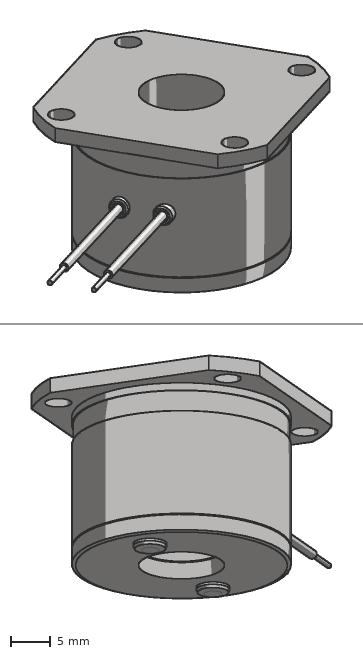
import cadquery as cq

COVER_HEIGHT = 2.2
AIR_GAP = 0.15
HOUSING_HEIGHT = 13.8
NECK_HEIGHT = 2.75
COLLAR_HEIGHT = 1.0
FLANGE_THICKNESS = 2.0

HOUSING_BOTTOM = COVER_HEIGHT + AIR_GAP
HOUSING_TOP = HOUSING_BOTTOM + HOUSING_HEIGHT
COLLAR_BOTTOM = HOUSING_TOP + NECK_HEIGHT
FLANGE_BOTTOM = COLLAR_BOTTOM + COLLAR_HEIGHT
FLANGE_TOP = FLANGE_BOTTOM + FLANGE_THICKNESS

BODY_RADIUS = 28.0 / 2
NECK_RADIUS = 27.7 / 2
BORE_RADIUS = 5.5
SLEEVE_RADIUS = 7.1
COVER_CHAMFER_DROP = 0.15
COVER_CHAMFER_INSET = 0.5

FLANGE_WIDTH = 32.0
FLANGE_CORNER_DIAMETER = 38.95
MOUNT_HOLE_SPACING = 23.75
MOUNT_HOLE_DIAMETER = 3.4

SCREW_OFFSET = 9.7
SCREW_SHANK_RADIUS = 1.0
SCREW_THREAD_DEPTH = 4.0
SCREW_TOP = HOUSING_BOTTOM + SCREW_THREAD_DEPTH
SCREW_HEAD_RADIUS = 2.15
SCREW_HEAD_SHOULDER_RADIUS = 2.0
SCREW_HEAD_TIP_RADIUS = 1.15
SCREW_RIM_HEIGHT = 0.35
SCREW_SHOULDER_HEIGHT = 0.7
SCREW_HEAD_HEIGHT = 0.9

LEAD_OFFSET = 3.0
LEAD_HEIGHT_ON_HOUSING = 8.9
LEAD_Z = HOUSING_BOTTOM + LEAD_HEIGHT_ON_HOUSING
LEAD_START = 10.05
GROMMET_RADIUS = 1.3
GROMMET_END = 14.7
GROMMET_OUTER_CHAMFER = 0.2
GROMMET_INNER_CHAMFER = 0.2
INSULATION_RADIUS = 0.6
INSULATION_END = 33.75
CONDUCTOR_RADIUS = 0.35
OVERALL_LENGTH = 54.8
CONDUCTOR_END = OVERALL_LENGTH - FLANGE_WIDTH / 2


def upright_cylinder(radius, bottom, top, x=0, y=0):
    """Cylinder along Z between two heights."""
    return cq.Workplane("XY", origin=(x, y, bottom)).circle(radius).extrude(top - bottom)


def lead_cylinder(radius, start, end, x):
    """Cylinder along -Y at lead height, between two distances from the main axis."""
    return cq.Workplane("XZ", origin=(x, -start, LEAD_Z)).circle(radius).extrude(end - start)


def make_flange():
    """Square mounting plate with a collar, a neck on the housing and a bored sleeve through the housing."""
    plate = (
        cq.Workplane("XY", origin=(0, 0, FLANGE_BOTTOM))
        .rect(FLANGE_WIDTH, FLANGE_WIDTH)
        .extrude(FLANGE_THICKNESS)
    )
    plate = plate.intersect(upright_cylinder(FLANGE_CORNER_DIAMETER / 2, FLANGE_BOTTOM, FLANGE_TOP))
    mount_holes = (
        cq.Workplane("XY", origin=(0, 0, FLANGE_BOTTOM))
        .rect(MOUNT_HOLE_SPACING, MOUNT_HOLE_SPACING, forConstruction=True)
        .vertices()
        .circle(MOUNT_HOLE_DIAMETER / 2)
        .extrude(FLANGE_THICKNESS)
    )
    collar = upright_cylinder(BODY_RADIUS, COLLAR_BOTTOM, FLANGE_BOTTOM)
    neck = upright_cylinder(NECK_RADIUS, HOUSING_TOP, COLLAR_BOTTOM)
    sleeve = upright_cylinder(SLEEVE_RADIUS, HOUSING_BOTTOM, HOUSING_TOP)
    bore = upright_cylinder(BORE_RADIUS, HOUSING_BOTTOM, FLANGE_TOP)
    return plate.cut(mount_holes).union(collar).union(neck).union(sleeve).cut(bore)


def make_housing():
    """Housing with a hole for the sleeve, and recesses for the grommets and the screw threads."""
    housing = upright_cylinder(BODY_RADIUS, HOUSING_BOTTOM, HOUSING_TOP)
    housing = housing.cut(upright_cylinder(SLEEVE_RADIUS, HOUSING_BOTTOM, HOUSING_TOP))
    for side in (-1, 1):
        housing = housing.cut(lead_cylinder(GROMMET_RADIUS, LEAD_START, GROMMET_END, side * LEAD_OFFSET))
        housing = housing.cut(
            upright_cylinder(SCREW_SHANK_RADIUS, HOUSING_BOTTOM, SCREW_TOP, y=side * SCREW_OFFSET)
        )
    return housing


def make_cover():
    """Bottom ring, separated from the housing by the air gap, with its lower rim bevelled."""
    cover = (
        upright_cylinder(BODY_RADIUS, 0, COVER_HEIGHT)
        .faces("<Z")
        .chamfer(COVER_CHAMFER_DROP, COVER_CHAMFER_INSET)
    )
    cover = cover.cut(upright_cylinder(BORE_RADIUS, 0, COVER_HEIGHT))
    for side in (-1, 1):
        cover = cover.cut(upright_cylinder(SCREW_SHANK_RADIUS, 0, COVER_HEIGHT, y=side * SCREW_OFFSET))
    return cover


def make_screw(y):
    """Screw with a stepped, tapering head under the cover and a shank up into the housing."""
    half_profile = [
        (0, -SCREW_HEAD_HEIGHT),
        (SCREW_HEAD_TIP_RADIUS, -SCREW_HEAD_HEIGHT),
        (SCREW_HEAD_SHOULDER_RADIUS, -SCREW_SHOULDER_HEIGHT),
        (SCREW_HEAD_RADIUS, -SCREW_RIM_HEIGHT),
        (SCREW_HEAD_RADIUS, 0),
        (SCREW_SHANK_RADIUS, 0),
        (SCREW_SHANK_RADIUS, SCREW_TOP),
        (0, SCREW_TOP),
    ]
    screw = cq.Workplane("XZ").polyline(half_profile).close().revolve(360, (0, 0, 0), (0, 1, 0))
    return screw.translate((0, y, 0))


def make_grommet(x):
    """Sleeve around a lead wire, bevelled outside and inside at its outer end."""
    grommet = lead_cylinder(GROMMET_RADIUS, LEAD_START, GROMMET_END, x)
    grommet = grommet.faces("<Y").chamfer(GROMMET_OUTER_CHAMFER)
    grommet = grommet.cut(lead_cylinder(INSULATION_RADIUS, LEAD_START, GROMMET_END, x))
    return grommet.faces("<Y").edges(cq.selectors.RadiusNthSelector(0)).chamfer(GROMMET_INNER_CHAMFER)


def make_wire(x):
    """Insulated lead with a bare conductor at its end."""
    insulation = lead_cylinder(INSULATION_RADIUS, LEAD_START, INSULATION_END, x)
    return insulation.union(lead_cylinder(CONDUCTOR_RADIUS, INSULATION_END, CONDUCTOR_END, x))


flange = make_flange()
housing = make_housing()
cover = make_cover()
screws = [make_screw(side * SCREW_OFFSET).val() for side in (-1, 1)]
grommets = [make_grommet(side * LEAD_OFFSET).val() for side in (-1, 1)]
wires = [make_wire(side * LEAD_OFFSET).val() for side in (-1, 1)]

result = cq.Compound.makeCompound(
    [flange.val(), housing.val(), cover.val(), *screws, *grommets, *wires]
)